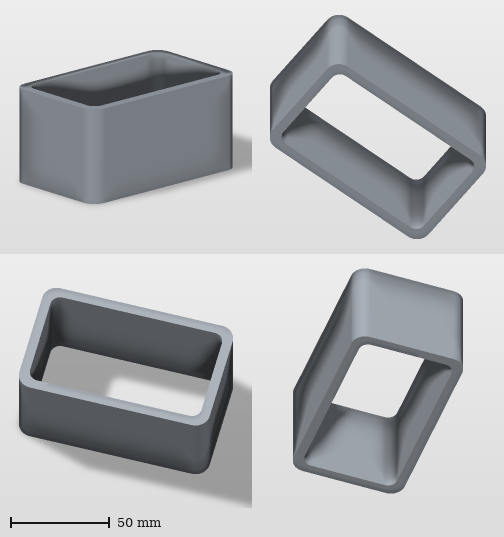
import cadquery as cq

width = 60.0
depth = 100.0
height = 50.0
wall = 5.0
outer_corner_radius = 1.5 * wall
inner_corner_radius = wall


def rounded_block(size_x, size_y, corner_radius):
    """Full-height block with rounded vertical edges, centred on X and Y."""
    block = cq.Workplane("XY").rect(size_x, size_y).extrude(height)
    return block.edges("|Z").fillet(corner_radius)


outer_body = rounded_block(width, depth, outer_corner_radius)
bore = rounded_block(width - 2 * wall, depth - 2 * wall, inner_corner_radius)

result = outer_body.cut(bore)